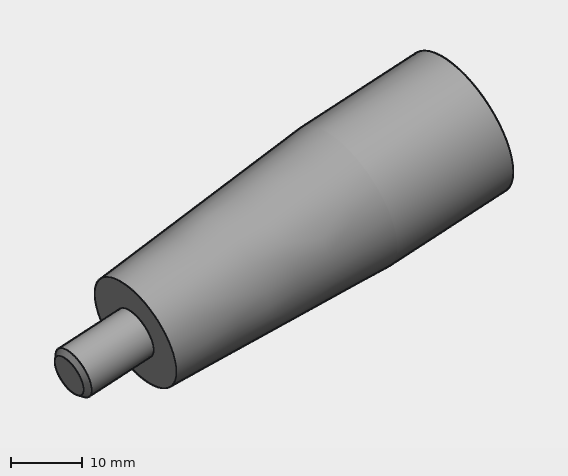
import cadquery as cq
import math

grip_diameter = 23.0
neck_diameter = 18.0
stud_diameter = 8.0
stud_length = 12.0
stud_chamfer = 0.8
dome_rise = 1.0
cylinder_length = 21.0
overall_length = 71.88

grip_radius = grip_diameter / 2
neck_radius = neck_diameter / 2
dome_tip = overall_length - stud_length
grip_height = dome_tip - dome_rise
taper_length = grip_height - cylinder_length
dome_radius = (grip_radius**2 + dome_rise**2) / (2 * dome_rise)
dome_mid_x = grip_radius / 2
dome_mid_y = dome_tip - dome_radius + math.sqrt(dome_radius**2 - dome_mid_x**2)


def make_grip():
    """Tapered grip with a straight rear part and a shallow domed end."""
    profile = (
        cq.Workplane("XY")
        .lineTo(neck_radius, 0)
        .lineTo(grip_radius, taper_length)
        .lineTo(grip_radius, grip_height)
        .threePointArc((dome_mid_x, dome_mid_y), (0, dome_tip))
        .close()
    )
    return profile.revolve(360, (0, 0, 0), (0, 1, 0))


def make_stud():
    """Plain stud leaving the narrow end of the grip, chamfered at its tip."""
    stud = cq.Workplane("XZ").circle(stud_diameter / 2).extrude(stud_length)
    return stud.faces("<Y").chamfer(stud_chamfer)


result = make_grip().union(make_stud())